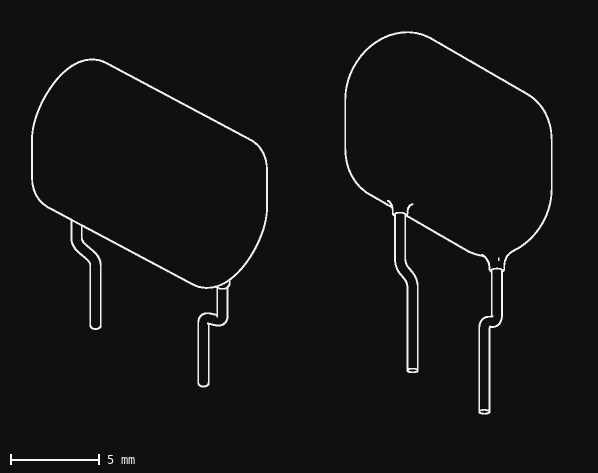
import cadquery as cq
import math

total_height = 19.9
body_length = 12.6
body_depth = 6.9
body_height = 9.93
body_end_fillet = 1.27

collar_diameter = 0.84
collar_drop = 0.98
collar_blend_radius = 1.0
collar_rim_fillet = 0.1

lead_diameter = 0.6
lead_top_spacing = 10.13
lead_tip_spacing = 7.5
lead_tip_length = 5.0
bend_radius = 0.62
bend_angle = math.radians(70)

lead_top_x = lead_top_spacing / 2
lead_tip_x = lead_tip_spacing / 2
body_bottom = total_height - body_height
body_center_z = body_bottom + body_height / 2
collar_bottom = body_bottom - collar_drop
root_margin = 0.04
sides = (-1, 1)


def make_housing():
    """Rounded obround body with one blended collar above each lead."""
    housing = (
        cq.Workplane("YZ", origin=(-body_length / 2, 0, body_center_z))
        .slot2D(body_height, body_depth, 90)
        .extrude(body_length)
        .faces("<X or >X")
        .edges()
        .fillet(body_end_fillet)
    )
    for side in sides:
        housing = add_collar(housing, side)
    return housing


def add_collar(housing, side):
    """Join a collar to the housing, with a rounded lower rim and a blended root."""
    x = side * lead_top_x
    collar = (
        cq.Workplane("XY", origin=(x, 0, collar_bottom))
        .circle(collar_diameter / 2)
        .extrude(body_center_z - collar_bottom)
        .faces("<Z")
        .edges()
        .fillet(collar_rim_fillet)
    )
    reach = collar_diameter / 2 + root_margin
    near_root = cq.selectors.BoxSelector(
        (x - reach, -reach, collar_bottom + collar_rim_fillet + root_margin),
        (x + reach, reach, body_center_z),
        boundingbox=True,
    )
    joined = housing.union(collar)
    return joined.edges(near_root).fillet(collar_blend_radius)


def make_lead(side):
    """Round wire with an S-bend that steps inward from collar to tip."""
    sine = math.sin(bend_angle)
    cosine = math.cos(bend_angle)
    half_sine = math.sin(bend_angle / 2)
    half_cosine = math.cos(bend_angle / 2)

    bend_run = bend_radius * (1 - cosine)
    bend_rise = bend_radius * sine
    slope_run = lead_top_x - lead_tip_x - 2 * bend_run
    slope_rise = slope_run * cosine / sine

    lower_x = lead_tip_x + bend_run
    lower_z = lead_tip_length + bend_rise
    upper_x = lower_x + slope_run
    upper_z = lower_z + slope_rise
    upper_bend_top = upper_z + bend_rise

    mid_run = bend_radius * (1 - half_cosine)
    mid_rise = bend_radius * half_sine

    path = (
        cq.Workplane("XZ")
        .moveTo(side * lead_tip_x, 0)
        .lineTo(side * lead_tip_x, lead_tip_length)
        .threePointArc(
            (side * (lead_tip_x + mid_run), lead_tip_length + mid_rise),
            (side * lower_x, lower_z),
        )
        .lineTo(side * upper_x, upper_z)
        .threePointArc(
            (side * (lead_top_x - mid_run), upper_bend_top - mid_rise),
            (side * lead_top_x, upper_bend_top),
        )
        .lineTo(side * lead_top_x, collar_bottom)
    )
    return (
        cq.Workplane("XY", origin=(side * lead_tip_x, 0, 0))
        .circle(lead_diameter / 2)
        .sweep(path)
    )


housing = make_housing()
leads = [make_lead(side) for side in sides]

result = cq.Compound.makeCompound([housing.solids().val(), *[lead.solids().val() for lead in leads]])